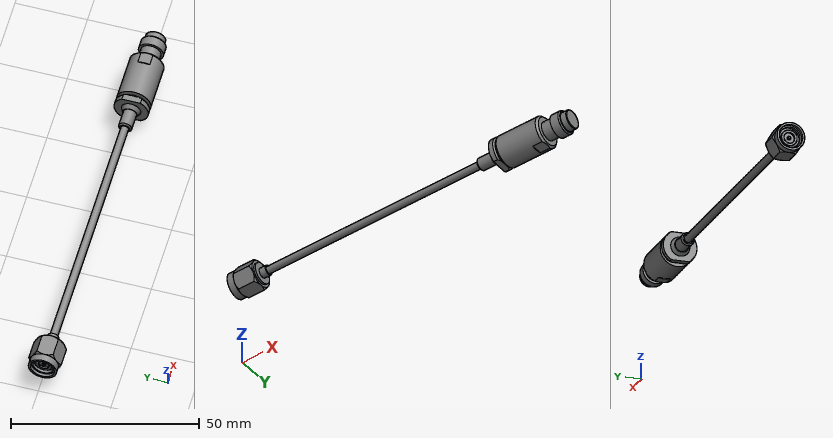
import cadquery as cq
import math

overall_length = 112.09

sleeve_end = 2.05
plug_hex_end = 8.35
collar_end = 8.9
plug_length = 10.9
sleeve_radius = 3.9
plug_hex_flats = 2 * sleeve_radius
collar_radius = 3.15
plug_ferrule_radius = 1.5

counterbore_radius = 3.3
counterbore_depth = 0.9
plug_bore_radius = 2.87
plug_bore_depth = 1.8
shell_radius = 2.2
shell_setback = 1.3
shell_bore_radius = 1.5
pin_radius = 0.5
pin_tip_length = 0.2

cable_radius = 1.1

jack_start = 81.3
crimp_end = 86.4
cone_end = 87.6
jack_nut_end = 89.5
neck_taper_end = 89.9
body_start = 90.15
body_end = 103.8
shoulder_start = 107.15
shoulder_end = 110.15
crimp_radius = 1.85
crimp_chamfer = 0.4
cone_start_radius = 2.0
cone_end_radius = 2.7
body_radius = 4.75
jack_nut_flat_half_height = 4.0
jack_nut_chamfer = 0.45
neck_radius = 3.3
neck_taper_radius = 3.9
body_chamfer = 0.6
barrel_radius = 2.8
barrel_chamfer = 0.2
shoulder_radius = 3.5
shoulder_chamfer = 0.35

flat_length = 3.7
flat_half_height = 4.45


def cylinder(start, end, radius):
    """Round bar on the X axis between two X positions."""
    return cq.Workplane("YZ", origin=(start, 0, 0)).circle(radius).extrude(end - start)


def turned(profile):
    """Solid of revolution about X from (x, radius) corners, closed along the axis."""
    points = [(profile[0][0], 0), *profile, (profile[-1][0], 0)]
    return cq.Workplane("XY").polyline(points).close().revolve(360, (0, 0, 0), (1, 0, 0))


def hexagon(start, end, across_flats):
    """Hexagonal bar on the X axis with flats facing +Z and -Z and corners at +Y and -Y."""
    across_corners = across_flats / math.cos(math.pi / 6)
    return cq.Workplane("YZ", origin=(start, 0, 0)).polygon(6, across_corners).extrude(end - start)


def cut_flats(shape, start, end, half_height):
    """Cut a flat on the +Z and -Z sides of a bar of the body radius, between two X positions."""
    depth = body_radius - half_height
    for side in (1, -1):
        center = ((start + end) / 2, 0, side * (half_height + depth / 2))
        cutter = cq.Workplane("XY").box(end - start, 2 * body_radius, depth).translate(center)
        shape = shape.cut(cutter)
    return shape


def make_plug():
    corner_radius = plug_hex_flats / 2 / math.cos(math.pi / 6)
    corner_chamfer = corner_radius - sleeve_radius
    turned_envelope = cylinder(sleeve_end, plug_hex_end, corner_radius).edges().chamfer(corner_chamfer)
    nut = hexagon(sleeve_end, plug_hex_end, plug_hex_flats).intersect(turned_envelope)

    plug = (
        cylinder(0, sleeve_end, sleeve_radius)
        .union(nut)
        .union(cylinder(plug_hex_end, collar_end, collar_radius))
        .union(cylinder(collar_end, plug_length, plug_ferrule_radius))
    )

    plug = plug.cut(cylinder(0, counterbore_depth, counterbore_radius))
    plug = plug.cut(cylinder(counterbore_depth, plug_bore_depth, plug_bore_radius))
    shell = cylinder(shell_setback, plug_bore_depth, shell_radius)
    shell = shell.cut(cylinder(shell_setback, plug_bore_depth, shell_bore_radius))
    pin = cylinder(shell_setback, plug_bore_depth, pin_radius).faces("<X").edges().chamfer(pin_tip_length)
    return plug.union(shell).union(pin)


def make_cable():
    return cylinder(plug_length, jack_start, cable_radius)


def make_jack():
    rear = turned([
        (jack_start, crimp_radius - crimp_chamfer),
        (jack_start + crimp_chamfer, crimp_radius),
        (crimp_end, crimp_radius),
        (crimp_end, cone_start_radius),
        (cone_end, cone_end_radius),
    ])

    nut = cylinder(cone_end, jack_nut_end, body_radius).faces(">X").edges().chamfer(jack_nut_chamfer)
    nut = cut_flats(nut, cone_end, jack_nut_end, jack_nut_flat_half_height)

    neck = turned([
        (jack_nut_end, neck_taper_radius),
        (neck_taper_end, neck_radius),
        (body_start, neck_radius),
    ])

    body = cylinder(body_start, body_end, body_radius).faces(">X").edges().chamfer(body_chamfer)
    body = cut_flats(body, body_end - flat_length, body_end, flat_half_height)

    barrel = cylinder(body_end, overall_length, barrel_radius).faces(">X").edges().chamfer(barrel_chamfer)
    shoulder = cylinder(shoulder_start, shoulder_end, shoulder_radius)
    shoulder = shoulder.faces(">X").edges().chamfer(shoulder_chamfer)

    return rear.union(nut).union(neck).union(body).union(barrel).union(shoulder)


plug = make_plug()
cable = make_cable()
jack = make_jack()

result = cq.Compound.makeCompound([plug.val(), cable.val(), jack.val()])